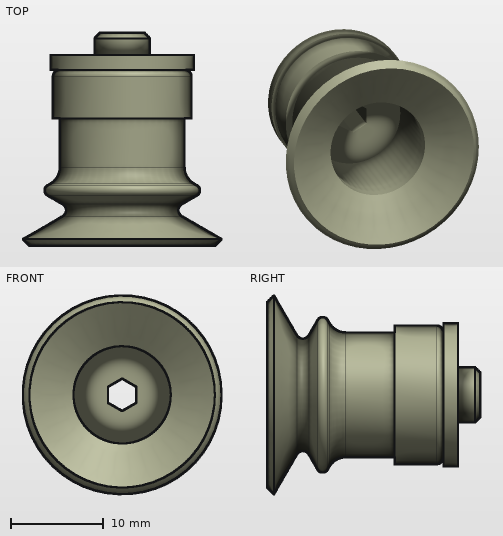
import cadquery as cq
import math


total_length = 23.0
collar_start = 13.75
flange_start = 19.0
flange_end = 20.6

mouth_radius = 10.0
neck_radius = 6.075
bulge_radius = 8.4
body_radius = 13.5 / 2
collar_radius = 15.0 / 2
flange_radius = 15.5 / 2
stem_radius = 6.0 / 2

collar_fillet = 0.75
stem_chamfer = 0.6

lip_wall = 1.0
cone_angle = math.radians(30)
neck_arc = 0.75
bulge_arc = 0.62
body_arc = 2.0

bore_radius = 10.5 / 2
bore_end = collar_start
hex_across_flats = 3.0
hex_turn = 30

cone_sin = math.sin(cone_angle)
cone_cos = math.cos(cone_angle)
cone_rise = math.tan(cone_angle)

lip_bevel = lip_wall / (cone_sin + cone_cos)
lip_radius = mouth_radius + lip_bevel

neck_cone_radius = neck_radius + neck_arc * (1 - cone_sin)
neck_front = lip_bevel + (lip_radius - neck_cone_radius) * cone_rise
neck_middle = neck_front + neck_arc * cone_cos
neck_back = neck_middle + neck_arc * cone_cos

bulge_cone_radius = bulge_radius - bulge_arc * (1 - cone_sin)
bulge_front = neck_back + (bulge_cone_radius - neck_cone_radius) * cone_rise
bulge_middle = bulge_front + bulge_arc * cone_cos
bulge_back = bulge_middle + bulge_arc * cone_cos

half_turn = (math.pi / 2 - cone_angle) / 2
hollow_front_radius = body_radius + body_arc * (1 - cone_sin)
hollow_front = bulge_back + (bulge_cone_radius - hollow_front_radius) * cone_rise
hollow_end = hollow_front + body_arc * cone_cos
hollow_middle_radius = body_radius + body_arc * (1 - math.cos(half_turn))
hollow_middle = hollow_end - body_arc * math.sin(half_turn)


def revolve_about_y(profile):
    return profile.close().revolve(360, (0, 0, 0), (0, 1, 0))


def make_bellows_and_body():
    """Lip, neck, bulge and cylindrical body, as far as the collar."""
    profile = (
        cq.Workplane("XY")
        .lineTo(mouth_radius, 0)
        .lineTo(lip_radius, lip_bevel)
        .lineTo(neck_cone_radius, neck_front)
        .threePointArc((neck_radius, neck_middle), (neck_cone_radius, neck_back))
        .lineTo(bulge_cone_radius, bulge_front)
        .threePointArc((bulge_radius, bulge_middle), (bulge_cone_radius, bulge_back))
        .lineTo(hollow_front_radius, hollow_front)
        .threePointArc((hollow_middle_radius, hollow_middle), (body_radius, hollow_end))
        .lineTo(body_radius, collar_start)
        .lineTo(0, collar_start)
    )
    return revolve_about_y(profile)


def make_cylinder(radius, start, end):
    """Cylinder along the Y axis between two axial positions."""
    return cq.Workplane("XZ", origin=(0, start, 0)).circle(radius).extrude(start - end)


def make_collar():
    return make_cylinder(collar_radius, collar_start, flange_start).edges(">Y").fillet(collar_fillet)


def make_flange():
    return make_cylinder(flange_radius, flange_start, flange_end)


def make_stem():
    return make_cylinder(stem_radius, flange_end, total_length).edges(">Y").chamfer(stem_chamfer)


def make_cup_hollow():
    """Conical mouth, parallel to the lip cone, leading into the round bore."""
    bore_start = (mouth_radius - bore_radius) * cone_rise
    profile = (
        cq.Workplane("XY")
        .lineTo(mouth_radius, 0)
        .lineTo(bore_radius, bore_start)
        .lineTo(bore_radius, bore_end)
        .lineTo(0, bore_end)
    )
    return revolve_about_y(profile)


def make_hex_passage():
    """Hexagonal through passage with two corners on the vertical centre line."""
    across_corners = hex_across_flats / math.cos(math.radians(hex_turn))
    passage = cq.Workplane("XZ").polygon(6, across_corners).extrude(-total_length)
    return passage.rotate((0, 0, 0), (0, 1, 0), hex_turn)


solid_body = make_bellows_and_body().union(make_collar()).union(make_flange()).union(make_stem())
result = solid_body.cut(make_cup_hollow()).cut(make_hex_passage())